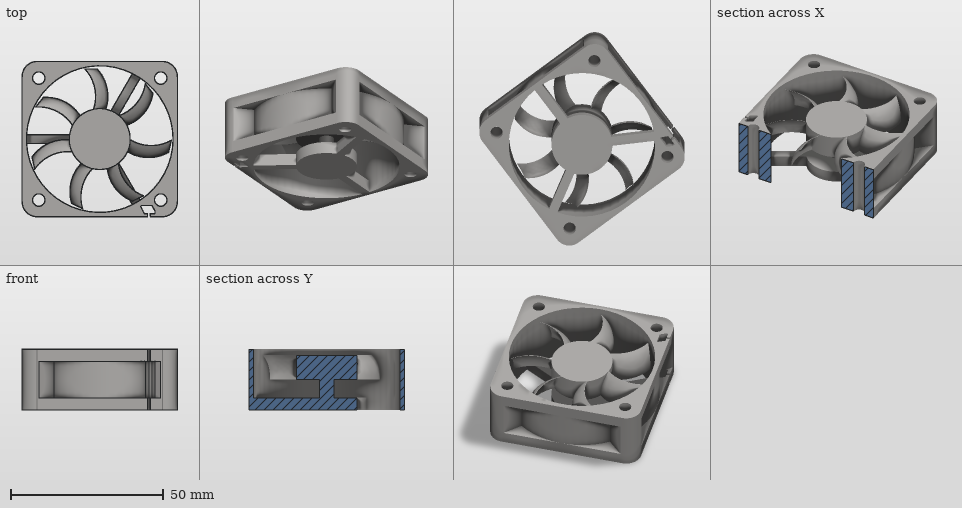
import cadquery as cq
import math

side = 51.0
height = 20.0
corner_radius = 5.0
bore_diameter = 48.0
hole_spacing = 40.0
hole_diameter = 4.0

flange_thickness = 4.0
duct_outer_diameter = side
corner_web_half_width = 4.0

hub_diameter = 20.0
hub_bottom = 10.0
hub_top = 18.0
shaft_diameter = 5.0
base_thickness = flange_thickness
spoke_width = 3.0
spoke_count = 3

blade_count = 7
blade_bottom = hub_bottom
blade_top = hub_top
blade_lean = 4.0
blade_camber = 1.3
blade_thickness = 0.1
blade_sweep_radius = 13.3
blade_crest_x = 2.7
blade_crest_y = 14.0
blade_root_y = 9.0
blade_tip_y = 23.0
blade_section_count = 8

slot_pocket_depth = 3.7
slot_lip = 1.1
slot_corner_radius = 0.3
pocket_front_left = 14.6
pocket_front_right = 18.1
pocket_back_left = 13.3
pocket_back_right = 17.1
pocket_right_wall = 0.8
gap_left = 15.7
gap_inner_right = 16.4
gap_outer_right = 16.6


def make_frame():
    """Rounded square block with the fan bore and four mounting holes."""
    block = cq.Workplane("XY").rect(side, side).extrude(height)
    block = block.edges("|Z").fillet(corner_radius)
    bore = cq.Workplane("XY").circle(bore_diameter / 2).extrude(height)
    holes = (
        cq.Workplane("XY")
        .rect(hole_spacing, hole_spacing, forConstruction=True)
        .vertices()
        .circle(hole_diameter / 2)
        .extrude(height)
    )
    return block.cut(bore).cut(holes)


def make_window_cutter():
    """Space between the flanges, outside the duct wall and the diagonal corner webs."""
    window_height = height - 2 * flange_thickness
    level = cq.Workplane("XY").workplane(offset=flange_thickness)
    cutter = level.rect(side, side).extrude(window_height)
    cutter = cutter.cut(level.circle(duct_outer_diameter / 2).extrude(window_height))
    for angle in (45, 135):
        web = level.rect(2 * side, 2 * corner_web_half_width).extrude(window_height)
        cutter = cutter.cut(web.rotate((0, 0, 0), (0, 0, 1), angle))
    return cutter


def make_cable_slot():
    """Slanted pocket behind the front wall, opened by a narrow gap through the wall."""
    wall_y = -side / 2
    lip_y = wall_y + slot_lip
    back_y = wall_y + slot_pocket_depth
    pocket = (
        cq.Workplane("XY")
        .polyline([
            (pocket_front_left, lip_y),
            (pocket_front_right, lip_y),
            (pocket_front_right, lip_y + pocket_right_wall),
            (pocket_back_right, back_y),
            (pocket_back_left, back_y),
        ])
        .close()
        .extrude(height)
        .edges("|Z and >Y")
        .fillet(slot_corner_radius)
    )
    gap = (
        cq.Workplane("XY")
        .polyline([
            (gap_left, wall_y),
            (gap_outer_right, wall_y),
            (gap_inner_right, lip_y),
            (gap_left, lip_y),
        ])
        .close()
        .extrude(height)
    )
    return pocket.union(gap)


def blade_section(y):
    """Thin cambered blade profile in the plane at y, leaning toward -X as it rises."""
    offset_y = y - blade_crest_y
    sweep_shift = blade_sweep_radius - math.sqrt(blade_sweep_radius ** 2 - offset_y ** 2)
    convex_x = blade_crest_x - sweep_shift
    concave_x = convex_x - blade_thickness

    rise = blade_top - blade_bottom
    chord = math.hypot(blade_lean, rise)
    mid_x = -blade_lean / 2 + blade_camber * rise / chord
    mid_z = blade_bottom + rise / 2 + blade_camber * blade_lean / chord

    def camber_points(bottom_x):
        return [
            cq.Vector(bottom_x, y, blade_bottom),
            cq.Vector(bottom_x + mid_x, y, mid_z),
            cq.Vector(bottom_x - blade_lean, y, blade_top),
        ]

    convex = camber_points(convex_x)
    concave = camber_points(concave_x)
    return cq.Wire.assembleEdges([
        cq.Edge.makeThreePointArc(*convex),
        cq.Edge.makeLine(convex[-1], concave[-1]),
        cq.Edge.makeThreePointArc(*reversed(concave)),
        cq.Edge.makeLine(concave[0], convex[0]),
    ])


def make_blade():
    """Blade pointing along +Y, its profile shifted sideways along an arc."""
    step = (blade_tip_y - blade_root_y) / (blade_section_count - 1)
    sections = [blade_section(blade_root_y + i * step) for i in range(blade_section_count)]
    return cq.Workplane(obj=cq.Solid.makeLoft(sections))


def make_rotor():
    """Hub with its ring of blades, standing on a central shaft."""
    rotor = cq.Workplane("XY").workplane(offset=hub_bottom)
    rotor = rotor.circle(hub_diameter / 2).extrude(hub_top - hub_bottom)
    rotor = rotor.union(cq.Workplane("XY").circle(shaft_diameter / 2).extrude(hub_top))
    blade = make_blade()
    for i in range(blade_count):
        rotor = rotor.union(blade.rotate((0, 0, 0), (0, 0, 1), i * 360 / blade_count))
    return rotor


def make_base():
    """Round plate under the hub with flat spokes reaching into the duct wall."""
    base = cq.Workplane("XY").circle(hub_diameter / 2).extrude(base_thickness)
    mid_wall_radius = (bore_diameter + duct_outer_diameter) / 4
    spoke = (
        cq.Workplane("XY")
        .center(-mid_wall_radius / 2, 0)
        .rect(mid_wall_radius, spoke_width)
        .extrude(base_thickness)
    )
    for i in range(spoke_count):
        base = base.union(spoke.rotate((0, 0, 0), (0, 0, 1), i * 360 / spoke_count))
    return base


frame = make_frame().cut(make_window_cutter()).cut(make_cable_slot())
result = frame.union(make_base()).union(make_rotor())